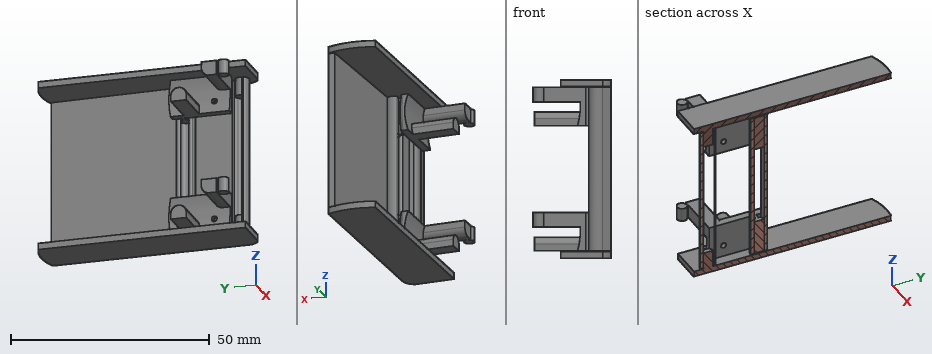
import cadquery as cq
import math


cap_width = 12.7
cap_length = 55.85
cap_thickness = 1.7
total_height = 44.9
cap_gap = 0.15
bow_radius = 17.85
pin_radius = 1.35

panel_height = total_height - 2 * (cap_thickness + cap_gap)
panel_top = panel_height / 2


def arc_rise(half_chord, radius):
    """Height of a circular arc above its chord."""
    return radius - math.sqrt(radius**2 - half_chord**2)


def polar(center, radius, degrees):
    """Point on a circle; the angle runs from +X towards +Y."""
    angle = math.radians(degrees)
    return (center[0] + radius * math.cos(angle), center[1] + radius * math.sin(angle))


edge_socket = (8.9, 4.0)
clip_socket = (8.8, 18.45)

cap_corner_y = cap_length - arc_rise(cap_width / 2, bow_radius)
cap_corner_radius = 3.45
cap_corner_center = (cap_width - cap_corner_radius, 3.2)
cap_corner_angle = math.degrees(math.asin(cap_corner_center[1] / cap_corner_radius))
peg_length = 4.75

panel_end_thickness = 1.75
panel_taper = 1.5
panel_end_x = cap_width - panel_end_thickness

edge_outer_radius = 2.25
edge_lip_angle = 213
edge_tangent_angle = 314
edge_lip_inner = (7.45, 3.35)
mouth_corner_x = 8.95
mouth_wall_y = 5.8
mouth_back_y = 6.2
cavity_end_angle = 52

clip_outer_radius = 2.4
clip_mouth_half_angle = 60

bracket_height = 9.7
plate_start_y = 5.6
plate_end_y = 21.05
plate_front_x = 4.25
plate_back_x = 6.35
plate_back_fillet = 0.65
neck_width = 0.9

arm_tip_x = -6.6
arm_end_y = 9.55
arm_height = 3.75
arm_round = 2.0
tip_disc = (-5.65, edge_socket[1])
post_y = 15.6
post_width = 4.0
post_side_height = 1.85
post_height = 3.5
hole_diameter = 1.4
hole_y = 9.7
hole_z = 3.2


def end_cap(side):
    """Plate above (side = 1) or below (side = -1) the panel, with a peg for its edge socket."""
    corner_start = polar(cap_corner_center, cap_corner_radius, -cap_corner_angle)
    corner_middle = polar(cap_corner_center, cap_corner_radius, -cap_corner_angle / 2)
    plate = (
        cq.Workplane("XY")
        .lineTo(*corner_start)
        .threePointArc(corner_middle, (cap_width, cap_corner_center[1]))
        .lineTo(cap_width, cap_corner_y)
        .threePointArc((cap_width / 2, cap_length), (0, cap_corner_y))
        .close()
        .extrude(side * cap_thickness)
    )
    peg = cq.Workplane("XY").center(*edge_socket).circle(pin_radius).extrude(-side * peg_length)
    return plate.union(peg).translate((0, 0, side * (panel_top + cap_gap)))


def panel_workplane():
    """Workplane at the bottom of the panel."""
    return cq.Workplane("XY").workplane(offset=-panel_top)


def wall_with_edge_socket():
    """Panel wall whose -Y edge is shaped into the hooked socket."""
    flat_start = polar(edge_socket, edge_outer_radius, edge_tangent_angle)
    flat_slope = math.tan(math.radians(edge_tangent_angle - 270))
    flat_end_y = flat_start[1] + (cap_width - flat_start[0]) * flat_slope
    panel_face_x = panel_end_x - (cap_corner_y - mouth_back_y) * math.tan(math.radians(panel_taper))
    mouth_tip_x = mouth_corner_x - (mouth_back_y - mouth_wall_y)
    cavity_end = polar(edge_socket, pin_radius, cavity_end_angle)
    inner_slope_x = cavity_end[0] - (mouth_wall_y - cavity_end[1])
    lip_drop = edge_socket[1] - edge_lip_inner[1]
    cavity_start_angle = 180 + math.degrees(math.asin(lip_drop / pin_radius))
    cavity_middle_angle = (cavity_end_angle + cavity_start_angle - 360) / 2
    return (
        panel_workplane()
        .moveTo(cap_width, flat_end_y)
        .lineTo(cap_width, cap_corner_y)
        .lineTo(panel_end_x, cap_corner_y)
        .lineTo(panel_face_x, mouth_back_y)
        .lineTo(mouth_tip_x, mouth_back_y)
        .lineTo(mouth_corner_x, mouth_wall_y)
        .lineTo(inner_slope_x, mouth_wall_y)
        .lineTo(*cavity_end)
        .threePointArc(
            polar(edge_socket, pin_radius, cavity_middle_angle),
            polar(edge_socket, pin_radius, cavity_start_angle),
        )
        .lineTo(*edge_lip_inner)
        .lineTo(*polar(edge_socket, edge_outer_radius, edge_lip_angle))
        .threePointArc(polar(edge_socket, edge_outer_radius, 270), flat_start)
        .close()
        .extrude(panel_height)
    )


def add_clip_socket(wall):
    """Ring on the wall, bored for the bracket disc and open towards -X."""
    ring = panel_workplane().center(*clip_socket).circle(clip_outer_radius).extrude(panel_height)
    bore = panel_workplane().center(*clip_socket).circle(pin_radius).extrude(panel_height)
    mouth_angles = [180 - clip_mouth_half_angle, 180 + clip_mouth_half_angle]
    mouth_reach = 2 * clip_outer_radius
    mouth_corners = [polar(clip_socket, mouth_reach, angle) for angle in mouth_angles]
    mouth = panel_workplane().polyline([clip_socket, *mouth_corners]).close().extrude(panel_height)
    lip_radius = (clip_outer_radius - pin_radius) / 2
    lip_centers = [polar(clip_socket, pin_radius + lip_radius, angle) for angle in mouth_angles]
    lips = panel_workplane().pushPoints(lip_centers).circle(lip_radius).extrude(panel_height)
    return wall.union(ring).cut(bore).cut(mouth).union(lips)


def bracket_plate():
    """Plate with a bulged +Y end, a rounded back corner and a dished -X face."""
    half_height = bracket_height / 2
    bow_rise = arc_rise(half_height, bow_radius)
    plate = (
        cq.Workplane("YZ")
        .moveTo(plate_start_y, 0)
        .lineTo(plate_end_y, 0)
        .threePointArc((plate_end_y + bow_rise, half_height), (plate_end_y, bracket_height))
        .lineTo(plate_start_y, bracket_height)
        .close()
        .extrude(plate_back_x)
        .faces(">X")
        .edges("%CIRCLE")
        .fillet(plate_back_fillet)
    )
    dish = (
        cq.Workplane("XZ")
        .lineTo(plate_front_x, 0)
        .threePointArc((plate_front_x + bow_rise, half_height), (plate_front_x, bracket_height))
        .lineTo(0, bracket_height)
        .close()
        .extrude(-(plate_end_y + 2 * bow_rise))
    )
    return plate.cut(dish)


def bracket_arm():
    """Arm along the top of the plate, with one rounded lower edge."""
    arm_bottom = bracket_height - arm_height
    return (
        cq.Workplane("YZ", origin=(arm_tip_x, 0, 0))
        .moveTo(plate_start_y, arm_bottom)
        .lineTo(arm_end_y - arm_round, arm_bottom)
        .radiusArc((arm_end_y, arm_bottom + arm_round), -arm_round)
        .lineTo(arm_end_y, bracket_height)
        .lineTo(plate_start_y, bracket_height)
        .close()
        .extrude(plate_back_x - arm_tip_x)
    )


def bracket_post():
    """Post along the bottom of the plate, flat below and round on top."""
    post_start_y = post_y - post_width / 2
    post_end_y = post_y + post_width / 2
    return (
        cq.Workplane("YZ", origin=(arm_tip_x, 0, 0))
        .moveTo(post_start_y, 0)
        .lineTo(post_end_y, 0)
        .lineTo(post_end_y, post_side_height)
        .threePointArc((post_y, post_height), (post_start_y, post_side_height))
        .close()
        .extrude(plate_back_x - arm_tip_x)
    )


def arm_disc():
    """Disc beside the arm tip, joined to the arm by a narrow neck."""
    plane = cq.Workplane("XY").workplane(offset=bracket_height - arm_height)
    disc = plane.center(*tip_disc).circle(pin_radius).extrude(arm_height)
    neck_length = plate_start_y - tip_disc[1]
    neck_y = tip_disc[1] + neck_length / 2
    neck = plane.center(tip_disc[0], neck_y).rect(neck_width, neck_length).extrude(arm_height)
    return disc.union(neck)


def clip_disc():
    """Disc behind the plate that fills the clip socket, with its neck in the socket mouth."""
    disc = cq.Workplane("XY").center(*clip_socket).circle(pin_radius).extrude(bracket_height)
    neck_length = clip_socket[0] - plate_back_x
    neck_x = plate_back_x + neck_length / 2
    neck = (
        cq.Workplane("XY")
        .center(neck_x, clip_socket[1])
        .rect(neck_length, neck_width)
        .extrude(bracket_height)
    )
    return disc.union(neck)


def bracket(base_z):
    """Whole bracket standing at base_z."""
    hole = (
        cq.Workplane("YZ")
        .center(hole_y, hole_z)
        .circle(hole_diameter / 2)
        .extrude(plate_back_x)
    )
    body = bracket_plate().union(bracket_arm()).union(bracket_post()).cut(hole)
    return body.union(arm_disc()).union(clip_disc()).translate((0, 0, base_z))


panel = add_clip_socket(wall_with_edge_socket())
end_caps = [end_cap(side) for side in (-1, 1)]
brackets = [bracket(base_z) for base_z in (-panel_top, panel_top - bracket_height)]

result = cq.Compound.makeCompound(
    [panel.val(), *[cap.val() for cap in end_caps], *[item.val() for item in brackets]]
)